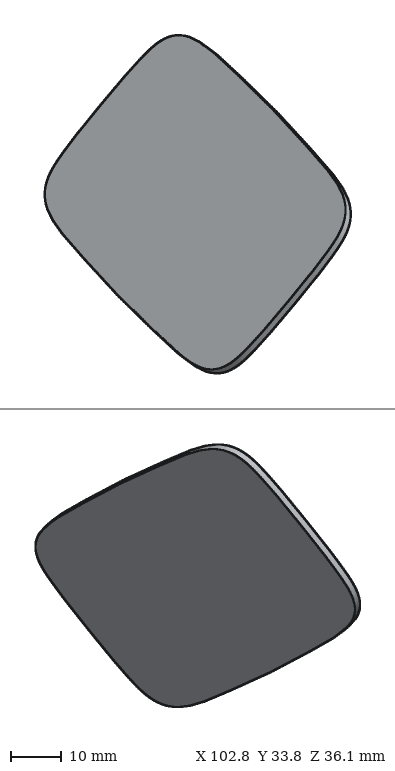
import cadquery as cq

length = 102.8
width = 47.9
thickness = 1.5
tilt = 47.0

half_length = length / 2
half_width = width / 2

quarter_points = [
    (25.4, 23.5),
    (38.3, 22.7),
    (44.0, 21.4),
    (48.0, 19.0),
    (49.8, 16.3),
    (50.8, 12.6),
]


def quarter_edge():
    """Smooth quarter outline, parallel to the plate axes at both ends."""
    points = [(0, half_width), *quarter_points, (half_length, 0)]
    return cq.Edge.makeSpline(
        [cq.Vector(x, y, 0) for x, y in points],
        tangents=[cq.Vector(1, 0, 0), cq.Vector(0, -1, 0)],
    )


def plate_outline():
    """Closed outline made by mirroring the quarter across both plate axes."""
    quarter = quarter_edge()
    right_half = [quarter, quarter.mirror("XZ")]
    left_half = [edge.mirror("YZ") for edge in right_half]
    return cq.Wire.assembleEdges([right_half[0], right_half[1], left_half[1], left_half[0]])


plate = cq.Solid.extrudeLinear(plate_outline(), [], cq.Vector(0, 0, thickness))
centred_plate = cq.Workplane(plate).translate((0, 0, -thickness / 2))
result = centred_plate.rotate((0, 0, 0), (1, 0, 0), tilt)